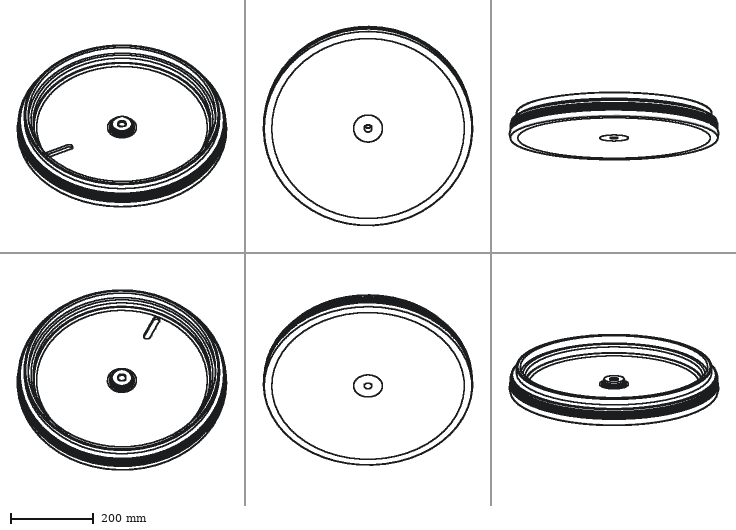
import cadquery as cq

OUTER_RADIUS = 253.5
HEIGHT = 63.0

FLOOR_TOP = 18.0
RIM_INNER_RADIUS = 453.5 / 2
PAN_OUTER_RADIUS = 466.5 / 2
LEDGE_HEIGHT = 43.5
LEDGE_INNER_RADIUS = 220.5
LOWER_WALL_RADIUS = 430.5 / 2
LEDGE_BEVEL = LEDGE_INNER_RADIUS - LOWER_WALL_RADIUS
FOOT_STEP_RADIUS = 213.0
FLOOR_RADIUS = 207.0
FOOT_TOP = 23.5

SLOT_WIDTH = 16.0
SLOT_INNER_END = 136.0
SLOT_OUTER_END = 205.0
SLOT_DEPTH = 8.0

COLLAR_RADIUS = 473.0 / 2
CONE_TOP = 47.5
RIM_CHAMFER = 1.0
SHOULDER_HEIGHT = 41.5
SHOULDER_INNER_RADIUS = 246.5
BAND_RADIUS = 498.0 / 2
BAND_CHAMFER = 1.5
GROOVE_RADIUS = 497.0 / 2
RIDGE_RADIUS = 251.5
RIDGE_COUNT = 3
RIDGE_PITCH = 6.0
RIDGE_HEIGHT = 4.0
RIDGE_TIP_HEIGHT = 1.0
FIRST_RIDGE_BOTTOM = 18.0
LIP_HEIGHT = 16.0
LIP_BULGE = 1.5
LIP_ROUND_BOTTOM = 3.0
LIP_BOTTOM_RADIUS = 251.5

FLANGE_RADIUS = 70.0 / 2
MOAT_RADIUS = 30.0
MOAT_FLOOR_RADIUS = 27.5
MOAT_DEPTH = 4.0
POST_RADIUS = 48.5 / 2
POST_RIDGE_RADIUS = 26.5
POST_TOP = 31.5
POST_RIDGE_BOTTOMS = (17.0, 23.5)
POST_RIDGE_HEIGHT = 3.0
BORE_RADIUS = 18.0 / 2
BORE_MOUTH_RADIUS = 20.0 / 2
BORE_MOUTH_DEPTH = 3.5


def revolve_profile(points):
    """Revolve a closed (radius, height) outline about the Z axis."""
    return cq.Workplane("XZ").polyline(points).close().revolve(360, (0, 0), (0, 1))


def ring(outer_radius, inner_radius, bottom, height):
    base = cq.Workplane("XY").workplane(offset=bottom)
    return base.circle(outer_radius).circle(inner_radius).extrude(height)


def make_pan():
    pan = revolve_profile([
        (FLANGE_RADIUS, 0),
        (PAN_OUTER_RADIUS, 0),
        (PAN_OUTER_RADIUS, HEIGHT),
        (RIM_INNER_RADIUS, HEIGHT),
        (RIM_INNER_RADIUS, LEDGE_HEIGHT),
        (LEDGE_INNER_RADIUS, LEDGE_HEIGHT),
        (LOWER_WALL_RADIUS, LEDGE_HEIGHT - LEDGE_BEVEL),
        (LOWER_WALL_RADIUS, FOOT_TOP),
        (FOOT_STEP_RADIUS, FOOT_TOP),
        (FLOOR_RADIUS, FLOOR_TOP),
        (FLANGE_RADIUS, FLOOR_TOP),
    ])
    slot = (
        cq.Workplane("XY")
        .workplane(offset=FLOOR_TOP - SLOT_DEPTH)
        .center(0, -(SLOT_INNER_END + SLOT_OUTER_END) / 2)
        .slot2D(SLOT_OUTER_END - SLOT_INNER_END, SLOT_WIDTH, 90)
        .extrude(SLOT_DEPTH)
    )
    return pan.cut(slot)


def make_seal_ridge(bottom):
    """Tapered ridge that narrows from its root to a thin tip."""
    taper = (RIDGE_HEIGHT - RIDGE_TIP_HEIGHT) / 2
    return revolve_profile([
        (PAN_OUTER_RADIUS, bottom),
        (GROOVE_RADIUS, bottom),
        (RIDGE_RADIUS, bottom + taper),
        (RIDGE_RADIUS, bottom + taper + RIDGE_TIP_HEIGHT),
        (GROOVE_RADIUS, bottom + RIDGE_HEIGHT),
        (PAN_OUTER_RADIUS, bottom + RIDGE_HEIGHT),
    ])


def make_seal():
    lip_edge_radius = OUTER_RADIUS - LIP_BULGE
    lip = (
        cq.Workplane("XZ")
        .moveTo(PAN_OUTER_RADIUS, 0)
        .lineTo(LIP_BOTTOM_RADIUS, 0)
        .lineTo(lip_edge_radius, LIP_ROUND_BOTTOM)
        .threePointArc(
            (OUTER_RADIUS, (LIP_ROUND_BOTTOM + LIP_HEIGHT) / 2),
            (lip_edge_radius, LIP_HEIGHT),
        )
        .lineTo(PAN_OUTER_RADIUS, LIP_HEIGHT)
        .close()
        .revolve(360, (0, 0), (0, 1))
    )

    band_bottom = FIRST_RIDGE_BOTTOM + (RIDGE_COUNT - 1) * RIDGE_PITCH + RIDGE_HEIGHT
    seal = lip.union(revolve_profile([
        (PAN_OUTER_RADIUS, LIP_HEIGHT),
        (GROOVE_RADIUS, LIP_HEIGHT),
        (GROOVE_RADIUS, band_bottom),
        (BAND_RADIUS, band_bottom),
        (BAND_RADIUS, SHOULDER_HEIGHT - BAND_CHAMFER),
        (BAND_RADIUS - BAND_CHAMFER, SHOULDER_HEIGHT),
        (SHOULDER_INNER_RADIUS, SHOULDER_HEIGHT),
        (COLLAR_RADIUS, CONE_TOP),
        (COLLAR_RADIUS, HEIGHT - RIM_CHAMFER),
        (COLLAR_RADIUS - RIM_CHAMFER, HEIGHT),
        (PAN_OUTER_RADIUS, HEIGHT),
    ]))

    for index in range(RIDGE_COUNT):
        bottom = FIRST_RIDGE_BOTTOM + index * RIDGE_PITCH
        seal = seal.union(make_seal_ridge(bottom))
    return seal


def make_hub():
    moat_floor = FLOOR_TOP - MOAT_DEPTH
    hub = revolve_profile([
        (BORE_RADIUS, 0),
        (FLANGE_RADIUS, 0),
        (FLANGE_RADIUS, FLOOR_TOP),
        (MOAT_RADIUS, FLOOR_TOP),
        (MOAT_FLOOR_RADIUS, moat_floor),
        (POST_RADIUS, moat_floor),
        (POST_RADIUS, POST_TOP),
        (BORE_MOUTH_RADIUS, POST_TOP),
        (BORE_MOUTH_RADIUS, POST_TOP - BORE_MOUTH_DEPTH),
        (BORE_RADIUS, POST_TOP - BORE_MOUTH_DEPTH),
    ])
    for bottom in POST_RIDGE_BOTTOMS:
        hub = hub.union(ring(POST_RIDGE_RADIUS, BORE_RADIUS, bottom, POST_RIDGE_HEIGHT))
    return hub


pan = make_pan()
seal = make_seal()
hub = make_hub()

result = cq.Compound.makeCompound([pan.val(), seal.val(), hub.val()])